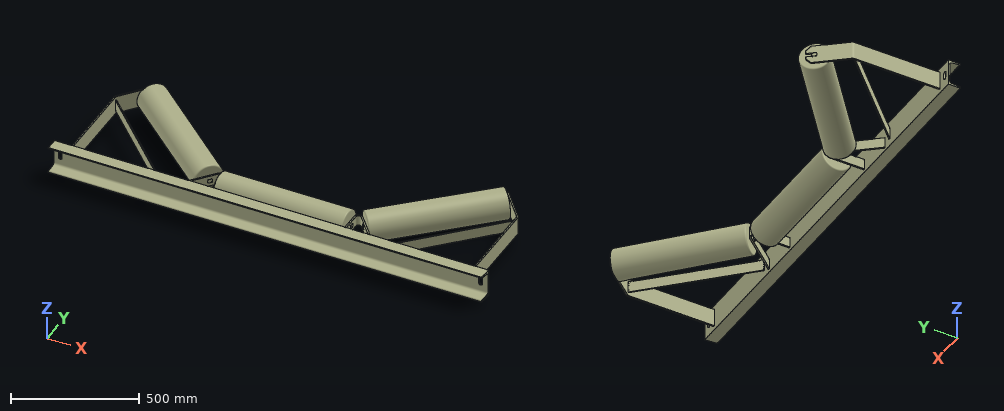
import cadquery as cq
import math


beam_depth = 120.0
flange_width = 55.0
web_thickness = 7.0
flange_thickness = 9.0
flange_slope = 0.08
root_radius = 10.0
toe_radius = 4.5
beam_length = 1895.0
end_skew = 5.0
slot_width = 16.0
slot_height = 36.0
slot_end_distance = 28.0

roller_diameter = 133.0
roller_length = 566.0
roller_edge_radius = 6.0
shaft_diameter = 22.0
shaft_flat_width = 16.0
trough_angle = 40.0
forward_tilt = 2.0
center_axis_y = 116.0
center_axis_z = -21.0
wing_outer_x = -776.0
wing_outer_y = 503.3
wing_outer_z = -1.5

plate_thickness = 7.0
outer_bracket_height = 80.0
inner_bracket_height = 46.0
bend_radius = 18.0
outer_bracket_x = -883.5
roller_end_gap = 3.5
tip_chamfer = 21.0
tip_length = 34.0
strut_thickness = 5.0
strut_height = 50.0
strut_foot_x = -488.0

roller_radius = roller_diameter / 2
trough = math.radians(trough_angle)
tilt = math.radians(forward_tilt)


wing_outward = cq.Vector(-math.cos(trough), math.sin(trough), 0)
leg_upward = cq.Vector(math.sin(trough), math.cos(trough), 0)
wing_axis = wing_outward * math.cos(tilt) + cq.Vector(0, 0, math.sin(tilt))
center_axis = cq.Vector(1, 0, 0)

wing_outer_end = cq.Vector(wing_outer_x, wing_outer_y, wing_outer_z)
wing_inner_end = wing_outer_end - wing_axis * roller_length
center_start = cq.Vector(-roller_length / 2, center_axis_y, center_axis_z)
shaft_reach = roller_end_gap + plate_thickness


def make_beam():
    half_depth = beam_depth / 2
    toe_thickness = flange_thickness - flange_slope * flange_width / 2
    root_thickness = flange_thickness + flange_slope * (flange_width / 2 - web_thickness)
    half_length = beam_length / 2
    beam = (
        cq.Workplane("YZ", origin=(-half_length, 0, 0))
        .moveTo(0, -half_depth)
        .lineTo(-flange_width, -half_depth)
        .lineTo(-flange_width, -half_depth + toe_thickness)
        .lineTo(-web_thickness, -half_depth + root_thickness)
        .lineTo(-web_thickness, half_depth - root_thickness)
        .lineTo(-flange_width, half_depth - toe_thickness)
        .lineTo(-flange_width, half_depth)
        .lineTo(0, half_depth)
        .close()
        .extrude(beam_length + end_skew)
    )
    root_z = half_depth - root_thickness
    toe_z = half_depth - toe_thickness
    for side in (-1, 1):
        root_edge = cq.selectors.NearestToPointSelector((0, -web_thickness, side * root_z))
        beam = beam.edges("|X").edges(root_edge).fillet(root_radius)
        toe_edge = cq.selectors.NearestToPointSelector((0, -flange_width, side * toe_z))
        beam = beam.edges("|X").edges(toe_edge).fillet(toe_radius)
    skew_waste = (
        cq.Workplane("XY", origin=(0, 0, -half_depth))
        .moveTo(half_length, -flange_width)
        .lineTo(half_length + end_skew, -flange_width)
        .lineTo(half_length + end_skew, 0)
        .close()
        .extrude(beam_depth)
    )
    slot_x = half_length - slot_end_distance
    slots = (
        cq.Workplane("XZ")
        .pushPoints([(-slot_x, 0), (slot_x, 0)])
        .slot2D(slot_height, slot_width, 90)
        .extrude(web_thickness)
    )
    return beam.cut(skew_waste).cut(slots)


def axis_plane(point, direction):
    """Plane whose normal is the roller axis and whose local x is across it, level with XY."""
    level = cq.Vector(0, 0, 1).cross(direction)
    return cq.Plane(origin=point, xDir=level, normal=direction)


def make_shaft(point, direction, length):
    """Round shaft with two flats that face up and down."""
    plane = axis_plane(point, direction)
    flats = cq.Workplane(plane).rect(shaft_diameter, shaft_flat_width).extrude(length)
    return cq.Workplane(plane).circle(shaft_diameter / 2).extrude(length).intersect(flats)


def make_roller(start, direction):
    """Roller with rounded end edges and a shaft that passes through both brackets."""
    shell = cq.Workplane(axis_plane(start, direction)).circle(roller_radius).extrude(roller_length)
    shell = shell.edges("%CIRCLE").fillet(roller_edge_radius)
    shaft_length = roller_length + 2 * shaft_reach
    shaft = make_shaft(start - direction * shaft_reach, direction, shaft_length)
    return shell.union(shaft)


def leg_point_at_x(point, x):
    """Point with the given x on the line through point that runs up the sloping leg."""
    return point + leg_upward * ((x - point.x) / leg_upward.x)


def leg_point_at_y(point, y):
    """Point with the given y on the line through point that runs up the sloping leg."""
    return point + leg_upward * ((y - point.y) / leg_upward.y)


def make_bent_plate(start, corner, end, height, middle_z):
    """Plate bent once to the right.

    The three points lie on its outside (left-hand) face; middle_z is the middle of its height.
    """
    up = cq.Vector(0, 0, 1)
    start_inward = (corner - start).normalized().cross(up)
    end_inward = (end - corner).normalized().cross(up)
    corner_inward = (start_inward + end_inward) / (1 + start_inward.dot(end_inward))
    inside_corner = corner + corner_inward * plate_thickness
    outline = [
        start,
        corner,
        end,
        end + end_inward * plate_thickness,
        inside_corner,
        start + start_inward * plate_thickness,
    ]
    plate = (
        cq.Workplane("XY", origin=(0, 0, middle_z - height / 2))
        .polyline([(point.x, point.y) for point in outline])
        .close()
        .extrude(height)
    )
    outside_edge = cq.selectors.NearestToPointSelector((corner.x, corner.y, middle_z))
    plate = plate.edges("|Z").edges(outside_edge).fillet(bend_radius)
    inside_edge = cq.selectors.NearestToPointSelector((inside_corner.x, inside_corner.y, middle_z))
    return plate.edges("|Z").edges(inside_edge).fillet(bend_radius - plate_thickness)


def trim_at_web(body):
    """Remove everything that lies below the back of the beam web."""
    waste = cq.Workplane("XY").box(beam_length, beam_depth, beam_depth, centered=(True, False, True))
    return body.cut(waste.translate((0, -beam_depth, 0)))


def make_outer_bracket():
    """Upright leg on the beam, bent in to a chamfered tip with an open slot for the shaft."""
    outside_point = wing_outer_end + wing_outward * shaft_reach
    corner = leg_point_at_x(outside_point, outer_bracket_x)
    tip = outside_point + leg_upward * tip_length
    bracket = make_bent_plate(
        cq.Vector(outer_bracket_x, 0, 0),
        cq.Vector(corner.x, corner.y, 0),
        cq.Vector(tip.x, tip.y, 0),
        outer_bracket_height,
        0,
    )
    tip_face = cq.selectors.DirectionMinMaxSelector(leg_upward, True)
    tip_edges = cq.selectors.ParallelDirSelector(wing_outward)
    bracket = bracket.faces(tip_face).edges(tip_edges).chamfer(tip_chamfer)
    slot = (
        cq.Workplane(axis_plane(wing_outer_end, wing_axis))
        .center(-tip_length, 0)
        .rect(2 * tip_length, shaft_flat_width)
        .extrude(2 * shaft_reach)
    )
    shaft_hole = make_shaft(wing_outer_end, wing_axis, 2 * shaft_reach)
    return bracket.cut(slot).cut(shaft_hole)


def make_inner_bracket():
    """Sloping leg for the wing roller and upright leg for the center roller, joined by a bend."""
    upright_x = center_start.x - roller_end_gap
    facing_point = wing_inner_end - wing_outward * roller_end_gap
    corner = leg_point_at_x(facing_point, upright_x)
    foot = leg_point_at_y(facing_point, -plate_thickness)
    bracket = make_bent_plate(
        cq.Vector(foot.x, foot.y, 0),
        cq.Vector(corner.x, corner.y, 0),
        cq.Vector(upright_x, 0, 0),
        inner_bracket_height,
        center_axis_z,
    )
    wing_hole = make_shaft(wing_inner_end, wing_axis * -1, 2 * shaft_reach)
    center_hole = make_shaft(center_start, center_axis * -1, 2 * shaft_reach)
    return trim_at_web(bracket).cut(wing_hole).cut(center_hole)


def make_strut(outer_bracket):
    """Flat brace from the beam to the inside of the outer bracket bend."""
    corner = leg_point_at_x(wing_outer_end + wing_outward * shaft_reach, outer_bracket_x)
    top = cq.Vector(corner.x + plate_thickness / 2, corner.y, 0)
    foot = cq.Vector(strut_foot_x, 0, 0)
    along = top - foot
    overrun = plate_thickness
    strut = (
        cq.Workplane(cq.Plane(origin=foot, xDir=along, normal=(0, 0, 1)))
        .box(along.Length + overrun, strut_thickness, strut_height, centered=(False, True, True))
        .translate(along.normalized() * -overrun)
    )
    return trim_at_web(strut).cut(outer_bracket)


beam = make_beam()
center_roller = make_roller(center_start, center_axis)
wing_roller = make_roller(wing_inner_end, wing_axis)
outer_bracket = make_outer_bracket()
inner_bracket = make_inner_bracket()
strut = make_strut(outer_bracket)

bodies = [beam.solids().val(), center_roller.solids().val()]
for body in (wing_roller, outer_bracket, inner_bracket, strut):
    bodies.append(body.solids().val())
    bodies.append(body.mirror("YZ").solids().val())

result = cq.Compound.makeCompound(bodies)